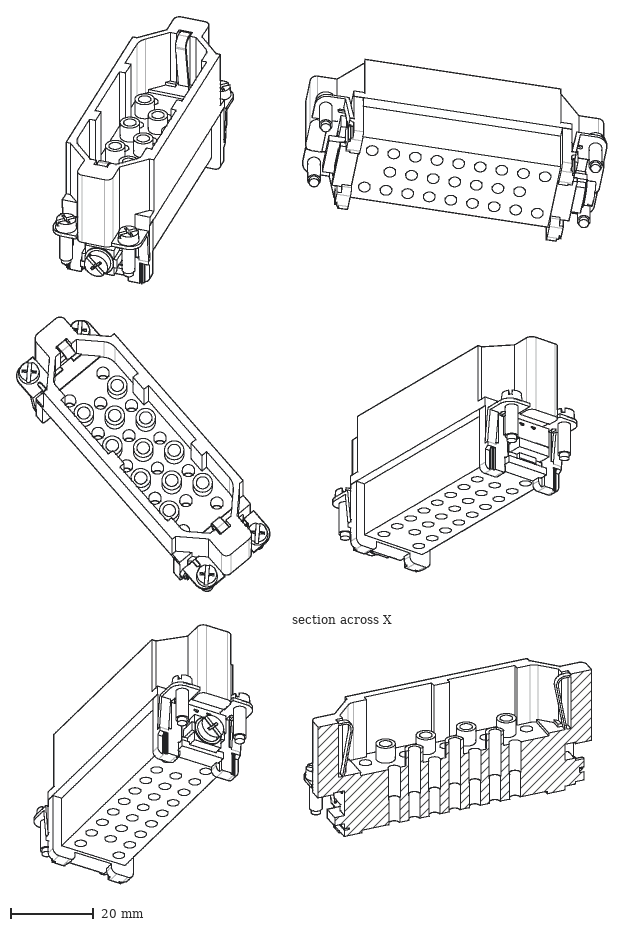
import cadquery as cq
import math

width = 22.5
length = 72.02
height = 34.2
half_width = width / 2
half_length = length / 2

side_wall_edge_x = 10.15
side_wall_end_y = 24.0
nose_half_width = 4.5
nose_chamfer_y = side_wall_end_y + side_wall_edge_x - nose_half_width
nose_fillet = 1.6
nose_bottom_z = 14.57
nose_relief_end_y = 31.8

floor_z = 18.4
cavity_half_width = 9.2
cavity_end_y = 28.8
cavity_end_half_width = 3.3
cavity_corner_y = cavity_end_y - (cavity_half_width - cavity_end_half_width)
cavity_fillet = 4.0
end_rib_fillet = 2.5
end_rib_x = 7.87
end_rib_start_y = 19.8
centre_rib_half_length = 2.1
key_rib_x = 7.68
key_rib_start_y = 8.8
key_rib_end_y = 12.8
ledge_start_y = 24.7
ledge_z = 19.2
end_shelf_y = 27.9
end_shelf_z = 20.0

contact_pitch = 5.3
contact_rows = 4
hole_radius = 1.5
bore_radius = 1.4
bore_top_z = 10.0
tube_radius = 2.35
tube_top_z = 22.5

body_half_length = 26.75
body_top_z = 19.2
lower_half_width = 11.17
panel_x = 8.8
panel_half_length = 24.4
panel_top_z = 16.85
panel_bottom_z = 3.1
foot_end_y = 27.75
foot_inner_x = 5.05
foot_top_z = 6.8
foot_inner_fillet = 1.5
foot_outer_fillet = 1.6
foot_relief_x = 9.93
foot_relief_top_z = 5.85
foot_relief_drop = 0.7
foot_groove_places = (9.05, 9.73)
foot_groove_width = 0.4
foot_groove_depth = 0.5
foot_setback_x = 6.0

end_block_half_width = 6.4
end_block_y = 29.06
shoulder_half_width = 8.0
shoulder_chamfer_bottom_z = 7.35
end_block_top_z = 15.0
pocket_half_width = 5.0
pocket_back_y = 27.5
pocket_bottom_z = 4.2
sill_half_width = 5.1
sill_bottom_z = 4.5
sill_end_y = 28.0
pocket_top_z = 10.05
plate_half_width = 5.7
plate_bottom_z = 2.4
vent_x = 1.74
vent_radius = 0.6
vent_top_z = 14.1
vent_depth = 0.5

terminal_z = 7.1
bar_half_width = 4.5
bar_root_depth = 1.0
bar_half_height = 1.2
bar_end_y = 31.65
clamp_width = 7.3
clamp_end_y = 31.5
clamp_washer_radius = 3.65
clamp_washer_end_y = 31.85
clamp_head_radius = 3.0
clamp_head_end_y = 34.05
nut_width = 5.0

bracket_inner_x = 4.56
flange_top_z = 15.9
sheet_thickness = 0.9
flange_end_y = 35.77
flange_corner_radius = 2.9
web_inner_x = 8.75
web_top_y = 27.9
web_bottom_y = 26.65
slit_x = 7.68
slit_width = 0.92
slit_end_y = 29.96
screw_x = 8.0
screw_y = 33.08
screw_head_radius = 2.54
screw_head_top_radius = 2.36
screw_head_top_z = 18.35
shank_radius = 1.55
shank_bottom_z = 7.1
tip_radius = 1.17
tip_bottom_z = 5.9

drive_width = 0.9
drive_depth = 1.1
drive_cross_length = 3.4
drive_cross_width = 0.55

clip_slot_half_width = 1.7
clip_slot_y = 30.55
clip_half_width = 1.28
clip_thickness = 0.6
clip_top_z = 33.9
clip_tip_y = 26.75
clip_tip_z = 31.4
clip_bend_radius = 2.15
clip_foot_y = 29.0


def box(x0, x1, y0, y1, z0, z1):
    """Axis-aligned box between two opposite corners."""
    return cq.Workplane("XY").box(x1 - x0, y1 - y0, z1 - z0, centered=False).translate((x0, y0, z0))


def cylinder_z(x, y, radius, z0, z1):
    """Upright cylinder from z0 to z1."""
    return cq.Workplane("XY", origin=(x, y, z0)).circle(radius).extrude(z1 - z0)


def both_sides(shape):
    """Shape together with its mirror image across the YZ plane."""
    return shape.union(shape.mirror("YZ"))


def both_ends(shape):
    """Shape together with its mirror image across the XZ plane."""
    return shape.union(shape.mirror("XZ"))


def octagon(half_x, corner_y, end_half_x, end_y, z0, z1):
    """Prism with four cut corners."""
    quarter = [(half_x, corner_y), (end_half_x, end_y)]
    outline = quarter + [(-x, y) for x, y in reversed(quarter)]
    outline += [(-x, -y) for x, y in outline]
    return cq.Workplane("XY", origin=(0, 0, z0)).polyline(outline).close().extrude(z1 - z0)


def shroud():
    """Outer walls of the connector with a rounded nose at each end."""
    walls = octagon(side_wall_edge_x, side_wall_end_y, nose_half_width, nose_chamfer_y,
                    end_block_top_z, height)
    sides = box(-half_width, half_width, -side_wall_end_y, side_wall_end_y, panel_top_z, height)
    nose = box(-nose_half_width, nose_half_width, -half_length, half_length, nose_bottom_z, height)
    nose = nose.edges("|Z").fillet(nose_fillet)
    relief = box(-nose_half_width, nose_half_width, end_block_y, nose_relief_end_y,
                 nose_bottom_z, end_block_top_z)
    return walls.union(sides).union(nose.cut(both_ends(relief)))


def cavity():
    """Space inside the shroud, narrowed by ribs, ledges and end shelves."""
    space = octagon(cavity_half_width, cavity_corner_y, cavity_end_half_width, cavity_end_y,
                    floor_z, height)
    space = space.edges("|Z and <X or |Z and >X").fillet(cavity_fillet)
    end_rib = box(end_rib_x, half_width, end_rib_start_y, half_length, floor_z, height)
    key_rib = box(-half_width, -key_rib_x, key_rib_start_y, key_rib_end_y, floor_z, height)
    ledge = box(-half_width, half_width, ledge_start_y, half_length, floor_z, ledge_z)
    shelf = box(-half_width, half_width, end_shelf_y, half_length, floor_z, end_shelf_z)
    centre_rib = box(end_rib_x, half_width, -centre_rib_half_length, centre_rib_half_length,
                     floor_z, height)
    for solid in (end_rib, key_rib, ledge, shelf):
        space = space.cut(both_ends(solid))
    rib_corner_y = cavity_end_y + cavity_end_half_width - end_rib_x
    for y in (-rib_corner_y, rib_corner_y):
        corner = cq.selectors.NearestToPointSelector((end_rib_x, y, (floor_z + height) / 2))
        space = space.edges("|Z").edges(corner).fillet(end_rib_fillet)
    return space.cut(centre_rib)


def foot():
    """Corner foot at +X +Y, reaching up to the body end face."""
    block = box(foot_inner_x, lower_half_width, panel_half_length, foot_end_y, 0, foot_top_z)
    block = block.edges("|Y and <Z and <X").fillet(foot_inner_fillet)
    block = block.edges("|Y and <Z and >X").fillet(foot_outer_fillet)
    relief = (
        cq.Workplane("YZ", origin=(foot_relief_x, 0, 0))
        .polyline([
            (body_half_length, 0),
            (foot_end_y, 0),
            (foot_end_y, foot_relief_top_z),
            (body_half_length, foot_relief_top_z - foot_relief_drop),
        ])
        .close()
        .extrude(lower_half_width - foot_relief_x)
    )
    setback = box(foot_inner_x, foot_setback_x, body_half_length, foot_end_y, 0, pocket_bottom_z)
    block = block.cut(relief).cut(setback)
    for x in foot_groove_places:
        block = block.cut(box(x - foot_groove_width / 2, x + foot_groove_width / 2,
                              foot_end_y - foot_groove_depth, foot_end_y, 0, foot_relief_top_z))
    return block


def housing():
    """Shroud on a contact carrier with recessed long sides and four feet."""
    upper = box(-half_width, half_width, -body_half_length, body_half_length, panel_top_z, body_top_z)
    lower = box(-lower_half_width, lower_half_width, -body_half_length, body_half_length,
                panel_bottom_z, panel_top_z)
    recess = box(panel_x, half_width, -panel_half_length, panel_half_length, 0, panel_top_z)
    body = upper.union(lower).union(shroud()).cut(both_sides(recess))
    return body.union(both_ends(both_sides(foot())))


def shoulder():
    """Low block on the +Y end whose corners are chamfered back to the body face."""
    block = box(-web_inner_x, web_inner_x, panel_half_length, foot_end_y, foot_top_z, end_block_top_z)
    chamfer = foot_end_y - body_half_length
    corner = (
        cq.Workplane("XY", origin=(0, 0, shoulder_chamfer_bottom_z))
        .moveTo(shoulder_half_width, foot_end_y)
        .lineTo(shoulder_half_width + chamfer, foot_end_y)
        .lineTo(shoulder_half_width + chamfer, body_half_length)
        .close()
        .extrude(end_block_top_z - shoulder_chamfer_bottom_z)
    )
    return block.cut(both_sides(corner))


def end_block():
    """Block on the +Y end with a terminal pocket, a terminal bar and a bottom plate."""
    block = box(-end_block_half_width, end_block_half_width, panel_half_length, end_block_y,
                pocket_top_z, end_block_top_z)
    backing = box(-end_block_half_width, end_block_half_width, panel_half_length, foot_end_y,
                  pocket_bottom_z, foot_top_z)
    pocket = box(-pocket_half_width, pocket_half_width, pocket_back_y, end_block_y,
                 pocket_bottom_z, pocket_top_z)
    plate = box(-plate_half_width, plate_half_width, panel_half_length, end_block_y,
                plate_bottom_z, pocket_bottom_z)
    sill = box(-sill_half_width, sill_half_width, panel_half_length, sill_end_y,
               sill_bottom_z, terminal_z - bar_half_height)
    sill_root = box(-sill_half_width, sill_half_width, panel_half_length, foot_end_y,
                    pocket_bottom_z, sill_bottom_z)
    bar = box(-bar_half_width, bar_half_width, pocket_back_y - bar_root_depth, bar_end_y,
              terminal_z - bar_half_height, terminal_z + bar_half_height)
    vent = (
        cq.Workplane("XZ", origin=(vent_x, end_block_y, vent_top_z))
        .moveTo(-vent_radius, 0)
        .threePointArc((0, -vent_radius), (vent_radius, 0))
        .close()
        .extrude(vent_depth)
    )
    block = block.union(shoulder()).union(backing).cut(pocket).cut(both_sides(vent))
    for solid in (plate, sill, sill_root, bar):
        block = block.union(solid)
    return block


def drive_recess(reach, angle):
    """Slot with a short cross bar, cut downward from Z = 0."""
    slot = box(-reach, reach, -drive_width / 2, drive_width / 2, -drive_depth, 0)
    cross = box(-drive_cross_width / 2, drive_cross_width / 2,
                -drive_cross_length / 2, drive_cross_length / 2, -drive_depth, 0)
    return slot.union(cross).rotate((0, 0, 0), (0, 0, 1), angle)


def earth_clamp():
    """Square clamp and slotted screw on the -Y end; built upright, then laid along -Y."""
    half = clamp_width / 2
    block = box(-half, half, -half, half, pocket_back_y, clamp_end_y)
    washer = cylinder_z(0, 0, clamp_washer_radius, clamp_end_y, clamp_washer_end_y)
    head = cylinder_z(0, 0, clamp_head_radius, clamp_washer_end_y, clamp_head_end_y)
    drive = drive_recess(clamp_head_radius, -45).translate((0, 0, clamp_head_end_y))
    upright = block.union(washer).union(head).cut(drive)
    return upright.rotate((0, 0, 0), (1, 0, 0), 90).translate((0, 0, terminal_z))


def clamp_nut():
    """Square nut in the +Y end pocket, flush with the end block."""
    half = nut_width / 2
    return box(-half, half, pocket_back_y, end_block_y, sill_bottom_z, pocket_top_z)


def bracket():
    """Bent sheet bracket at +X +Y: flat flange plus a sloping web."""
    flange_bottom_z = flange_top_z - sheet_thickness
    flange = box(bracket_inner_x, half_width, web_top_y, flange_end_y, flange_bottom_z, flange_top_z)
    flange = flange.edges("|Z and >X and >Y").fillet(flange_corner_radius)
    web = (
        cq.Workplane("YZ", origin=(web_inner_x, 0, 0))
        .polyline([
            (web_top_y, flange_top_z),
            (web_top_y + sheet_thickness, flange_top_z),
            (web_top_y + sheet_thickness, flange_bottom_z),
            (foot_end_y, foot_top_z),
            (web_bottom_y, foot_top_z),
        ])
        .close()
        .extrude(half_width - web_inner_x)
    )
    half_slit = slit_width / 2
    slit = box(slit_x - half_slit, slit_x + half_slit, web_top_y, slit_end_y - half_slit,
               flange_bottom_z, flange_top_z)
    slit_end = cylinder_z(slit_x, slit_end_y - half_slit, half_slit, flange_bottom_z, flange_top_z)
    return flange.union(web).cut(slit).cut(slit_end)


def fixing_screw(x, y):
    """Slotted screw standing through a bracket flange."""
    head = (
        cq.Workplane("XY", origin=(0, 0, flange_top_z))
        .circle(screw_head_radius)
        .workplane(offset=screw_head_top_z - flange_top_z)
        .circle(screw_head_top_radius)
        .loft()
    )
    shank = cylinder_z(0, 0, shank_radius, shank_bottom_z, flange_top_z)
    tip = cylinder_z(0, 0, tip_radius, tip_bottom_z, shank_bottom_z)
    drive = drive_recess(screw_head_radius, 45).translate((0, 0, screw_head_top_z))
    return head.union(shank).union(tip).cut(drive).translate((x, y, 0))


def clip_slot():
    """Notch in the +Y end wall that houses a spring clip."""
    return box(-clip_slot_half_width, clip_slot_half_width, ledge_start_y, clip_slot_y,
               ledge_z, height)


def spring_clip():
    """Curled spring strip leaning from the +Y wall notch into the cavity."""
    bend_y = clip_tip_y + clip_bend_radius
    bend_z = clip_top_z - clip_bend_radius
    inner_radius = clip_bend_radius - clip_thickness
    outer_diagonal = clip_bend_radius * math.sqrt(0.5)
    inner_diagonal = inner_radius * math.sqrt(0.5)
    return (
        cq.Workplane("YZ", origin=(-clip_half_width, 0, 0))
        .moveTo(bend_y, clip_top_z)
        .lineTo(clip_slot_y, clip_top_z)
        .lineTo(clip_slot_y, clip_top_z - clip_thickness)
        .lineTo(bend_y, clip_top_z - clip_thickness)
        .threePointArc((bend_y - inner_diagonal, bend_z + inner_diagonal), (bend_y - inner_radius, bend_z))
        .lineTo(bend_y - inner_radius, clip_tip_z)
        .lineTo(clip_foot_y + clip_thickness, ledge_z)
        .lineTo(clip_foot_y, ledge_z)
        .lineTo(clip_tip_y, clip_tip_z)
        .lineTo(clip_tip_y, bend_z)
        .threePointArc((bend_y - outer_diagonal, bend_z + outer_diagonal), (bend_y, clip_top_z))
        .close()
        .extrude(2 * clip_half_width)
    )


def contact_places():
    """Every contact as (x, y, has_tube); outer and middle columns alternate tubes."""
    places = []
    for row in range(-contact_rows, contact_rows + 1):
        odd_row = row % 2 != 0
        for column in (-1, 0, 1):
            has_tube = odd_row if column else not odd_row
            if column or abs(row) < contact_rows:
                places.append((column * contact_pitch, row * contact_pitch, has_tube))
    return places


def assemble():
    """Complete connector insert with brackets, screws, clips and contacts."""
    part = housing().cut(cavity()).cut(both_ends(clip_slot()))
    part = part.union(both_ends(end_block())).union(both_ends(both_sides(bracket())))
    part = part.union(both_ends(spring_clip())).union(earth_clamp()).union(clamp_nut())
    for x in (-screw_x, screw_x):
        for y in (-screw_y, screw_y):
            part = part.union(fixing_screw(x, y))
    for x, y, has_tube in contact_places():
        if has_tube:
            part = part.union(cylinder_z(x, y, tube_radius, floor_z, tube_top_z))
    for x, y, _ in contact_places():
        part = part.cut(cylinder_z(x, y, hole_radius, bore_top_z, height))
        part = part.cut(cylinder_z(x, y, bore_radius, 0, bore_top_z))
    return part


result = assemble()